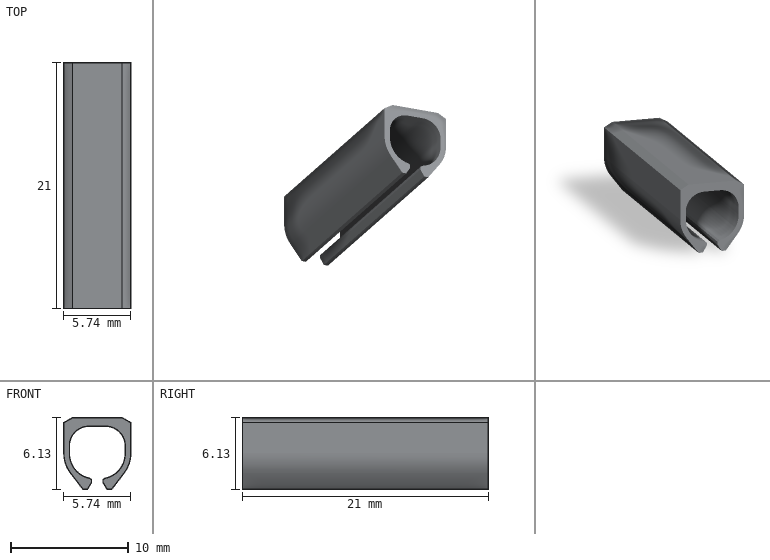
import cadquery as cq
import math

length = 21.0
width = 5.74
height = 6.13
half_width = width / 2

bevel_width = 0.75
bevel_height = 0.42

bend_depth = 3.04
leg_angle = math.radians(37.5)
foot_outer = 1.22
foot_inner = 0.84

roof_thickness = 0.74
channel_half_width = 2.375
corner_radius = 1.66
wall_end_depth = bend_depth
upper_arc_radius = 2.25
lower_arc_radius = 2.07
arc_split_angle = math.radians(30)

slot_half_width = 0.48
lip_top_half_width = 0.65
lip_bevel_height = 0.13
lip_side_height = 0.24


def arc_point(center, radius, angle):
    """Point on a circle in XZ, with the angle measured downward from the +X direction."""
    return (center[0] + radius * math.cos(angle), center[1] - radius * math.sin(angle))


def half_profile():
    """Right half of the cross section in XZ, with the roof at Z = 0."""
    leg_drop = height - bend_depth
    leg_run = half_width - foot_outer
    bend_radius = (leg_drop * math.tan(leg_angle) - leg_run) / (1 / math.cos(leg_angle) - 1)
    bend_center = (half_width - bend_radius, -bend_depth)

    corner_center = (channel_half_width - corner_radius, -roof_thickness - corner_radius)

    upper_center = (channel_half_width - upper_arc_radius, -wall_end_depth)
    lower_center = arc_point(upper_center, upper_arc_radius - lower_arc_radius, arc_split_angle)
    arc_split = arc_point(upper_center, upper_arc_radius, arc_split_angle)
    lip_angle = math.acos((lip_top_half_width - lower_center[0]) / lower_arc_radius)
    lower_mid_angle = (arc_split_angle + lip_angle) / 2

    lip_top = arc_point(lower_center, lower_arc_radius, lip_angle)
    lip_side_top = lip_top[1] - lip_bevel_height
    lip_side_bottom = lip_side_top - lip_side_height

    return (
        cq.Workplane("XZ")
        .moveTo(0, 0)
        .lineTo(half_width - bevel_width, 0)
        .lineTo(half_width, -bevel_height)
        .lineTo(half_width, -bend_depth)
        .threePointArc(
            arc_point(bend_center, bend_radius, leg_angle / 2),
            arc_point(bend_center, bend_radius, leg_angle),
        )
        .lineTo(foot_outer, -height)
        .lineTo(foot_inner, -height)
        .lineTo(slot_half_width, lip_side_bottom)
        .lineTo(slot_half_width, lip_side_top)
        .lineTo(*lip_top)
        .threePointArc(arc_point(lower_center, lower_arc_radius, lower_mid_angle), arc_split)
        .threePointArc(
            arc_point(upper_center, upper_arc_radius, arc_split_angle / 2),
            (channel_half_width, -wall_end_depth),
        )
        .lineTo(channel_half_width, corner_center[1])
        .threePointArc(
            arc_point(corner_center, corner_radius, -math.pi / 4),
            (corner_center[0], -roof_thickness),
        )
        .lineTo(0, -roof_thickness)
        .close()
    )


right_half = half_profile().extrude(length / 2, both=True)
clip = right_half.union(right_half.mirror("YZ")).clean()

result = clip.translate((0, 0, height / 2))